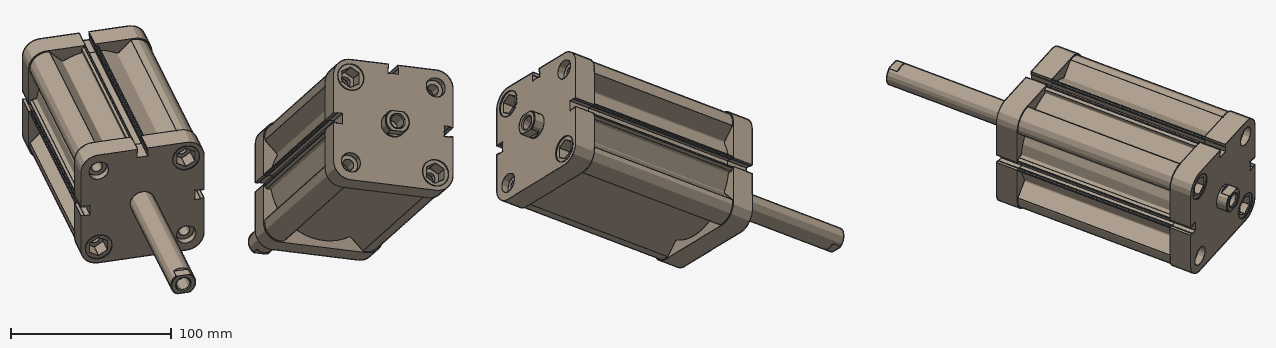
import cadquery as cq
import math

rod_length = 246.0
rod_overhang = 7.6
cap_thickness = 15.0
housing_length = 140.2
near_end = rod_overhang
housing_middle = near_end + housing_length / 2
profile_start = near_end + cap_thickness
profile_length = housing_length - 2 * cap_thickness

cap_width = 79.5
cap_corner_radius = 11.3
slot_sides = (0, 90, 180)
slot_width = 7.0
slot_depth = 6.0
slot_floor = cap_width / 2 - slot_depth
cap_slot_mouth = 6.2
slot_lip_thickness = 2.2
lip_inner = cap_width / 2 - slot_lip_thickness

bolt_spacing = 56.3
bolt_offset = bolt_spacing / 2
bolt_diameter = 7.1
counterbore_diameter = 12.5
counterbore_depth = 5.0
hex_across_flats = 11.5
hex_depth = 11.0
hex_turn = 30
spotface_diameter = 17.2
spotface_depth = 0.7

profile_inset = 0.7
profile_reach = cap_width / 2 - profile_inset
barrel_radius = 35.2
tolerance = 0.02
arm_angles = (45, 135, 225, 315)
arm_half_width = 8.9
arm_tip_radius = profile_reach - bolt_offset
arm_root_fillet = 1.2
profile_slot_mouth = 5.2
profile_mouth_chamfer = 0.62
rail_width = 11.0
rail_foot_fillet = 0.7
rail_chamfer = 1.5
rail_sink = 2.5

rod_diameter = 16.0
flat_length = 6.2
flat_spacing = 13.0
shoulder_slope = 0.2
end_chamfer = 0.5
socket_diameter = 8.5
socket_depth = 12.3
socket_chamfer = 0.7
drill_tip_angle = 118


def cross_section(x):
    """Workplane across the rod axis, with local axes along Y and Z."""
    return cq.Workplane("YZ", origin=(x, 0, 0))


def turned(body, angle):
    """Turn a body about the rod axis."""
    return body.rotate((0, 0, 0), (1, 0, 0), angle)


def outward_block(inner, outer, width, x, length):
    """Block reaching from inner to outer along +Y, centred on Z = 0."""
    return (
        cross_section(x)
        .center((inner + outer) / 2, 0)
        .rect(outer - inner, width)
        .extrude(length)
    )


def make_slot(opening, mouth_width, x, length):
    """T-slot along +Y: a wide channel behind a narrower mouth."""
    channel = outward_block(slot_floor, lip_inner, slot_width, x, length)
    mouth = outward_block(slot_floor, opening, mouth_width, x, length)
    return channel.union(mouth)


def bolt_holes(x, length):
    """Four corner holes running along X."""
    corners = cross_section(x).rect(bolt_spacing, bolt_spacing, forConstruction=True).vertices()
    return corners.circle(bolt_diameter / 2).extrude(length)


def make_near_cap():
    """End cap at the low-X end, with its bolt recesses in the outer face."""
    cap = cross_section(near_end).rect(cap_width, cap_width).extrude(cap_thickness)
    cap = cap.edges("|X").fillet(cap_corner_radius)
    cap = cap.cut(bolt_holes(near_end, cap_thickness))
    cap = cap.cut(cross_section(near_end).circle(rod_diameter / 2).extrude(cap_thickness))

    for angle in slot_sides:
        slot = make_slot(cap_width / 2, cap_slot_mouth, near_end, cap_thickness)
        cap = cap.cut(turned(slot, angle))

    round_corners = [(-bolt_offset, bolt_offset), (bolt_offset, -bolt_offset)]
    face = cross_section(near_end).pushPoints(round_corners)
    cap = cap.cut(face.circle(counterbore_diameter / 2).extrude(counterbore_depth))

    hex_corner_diameter = hex_across_flats / math.cos(math.pi / 6)
    for side in (-1, 1):
        corner = cross_section(near_end).center(side * bolt_offset, side * bolt_offset)
        cap = cap.cut(corner.circle(spotface_diameter / 2).extrude(spotface_depth))
        socket = cross_section(near_end).polygon(6, hex_corner_diameter).extrude(hex_depth)
        socket = turned(socket, hex_turn).translate((0, side * bolt_offset, side * bolt_offset))
        cap = cap.cut(socket)
    return cap


def make_arm():
    """Arm along +Y with a rounded tip centred on its bolt hole."""
    hole_reach = bolt_offset * math.sqrt(2)
    tip_start = hole_reach + math.sqrt(arm_tip_radius**2 - arm_half_width**2)
    return (
        cross_section(profile_start)
        .moveTo(0, -arm_half_width)
        .lineTo(tip_start, -arm_half_width)
        .threePointArc((hole_reach + arm_tip_radius, 0), (tip_start, arm_half_width))
        .lineTo(0, arm_half_width)
        .close()
        .extrude(profile_length)
    )


def make_rail():
    """Rail along +Y that carries a T-slot, sunk into the barrel at its foot."""
    foot = slot_floor - rail_sink
    rail = outward_block(foot, profile_reach, rail_width, profile_start, profile_length)
    return rail.faces(">Y").edges("|X").chamfer(rail_chamfer)


def make_profile_slot():
    """T-slot along +Y with a chamfered mouth."""
    slot = make_slot(profile_reach, profile_slot_mouth, profile_start, profile_length)
    mouth_edge = profile_slot_mouth / 2
    flare = mouth_edge + profile_mouth_chamfer
    flare_depth = profile_reach - profile_mouth_chamfer
    chamfer = (
        cross_section(profile_start)
        .polyline([
            (flare_depth, -mouth_edge),
            (profile_reach, -flare),
            (profile_reach, flare),
            (flare_depth, mouth_edge),
        ])
        .close()
        .extrude(profile_length)
    )
    return slot.union(chamfer)


def barrel_corners(profile, nearest, farthest):
    """Lengthwise barrel edges whose smaller coordinate, |Y| or |Z|, lies in the given range."""
    corners = []
    for edge in profile.edges("|X").vals():
        center = edge.Center()
        on_barrel = abs(math.hypot(center.y, center.z) - barrel_radius) < tolerance
        if on_barrel and nearest < min(abs(center.y), abs(center.z)) < farthest:
            corners.append(edge)
    return profile.newObject(corners)


def make_profile():
    """Housing between the caps: barrel, arms and slotted rails."""
    profile = cross_section(profile_start).circle(barrel_radius).extrude(profile_length)
    for angle in arm_angles:
        profile = profile.union(turned(make_arm(), angle))
    profile = barrel_corners(profile, arm_half_width, barrel_radius).fillet(arm_root_fillet)

    for angle in slot_sides:
        profile = profile.union(turned(make_rail(), angle))
    rail_edge = rail_width / 2
    profile = barrel_corners(profile, rail_edge - tolerance, rail_edge + tolerance).fillet(rail_foot_fillet)
    for angle in slot_sides:
        profile = profile.cut(turned(make_profile_slot(), angle))

    bore = cross_section(profile_start).circle(rod_diameter / 2).extrude(profile_length)
    return profile.cut(bolt_holes(profile_start, profile_length)).cut(bore)


def make_end_socket():
    """Chamfered blind hole with a drill-point bottom, opening at X = 0."""
    radius = socket_diameter / 2
    tip_length = radius / math.tan(math.radians(drill_tip_angle / 2))
    return (
        cq.Workplane("XY")
        .polyline([
            (0, 0),
            (0, radius + socket_chamfer),
            (socket_chamfer, radius),
            (socket_depth, radius),
            (socket_depth + tip_length, 0),
        ])
        .close()
        .revolve(360, (0, 0), (1, 0))
    )


def make_flat_cutter():
    """Material removed above the upper wrench flat at X = 0."""
    radius = rod_diameter / 2
    return (
        cq.Workplane("XZ")
        .polyline([
            (0, flat_spacing / 2),
            (flat_length, flat_spacing / 2),
            (flat_length + shoulder_slope, radius),
            (0, radius),
        ])
        .close()
        .extrude(radius, both=True)
    )


def make_rod():
    """Rod with wrench flats and a blind socket at both ends."""
    rod = cross_section(0).circle(rod_diameter / 2).extrude(rod_length)
    rod = rod.edges("%CIRCLE").chamfer(end_chamfer)
    flat = make_flat_cutter()
    near_cuts = [make_end_socket(), flat, turned(flat, 180)]
    for cutter in near_cuts:
        rod = rod.cut(cutter).cut(cutter.mirror("YZ", (rod_length / 2, 0, 0)))
    return rod


near_cap = make_near_cap()
far_cap = near_cap.mirror("YZ", (housing_middle, 0, 0))
profile = make_profile()
rod = make_rod()

result = cq.Compound.makeCompound([near_cap.val(), far_cap.val(), profile.val(), rod.val()])